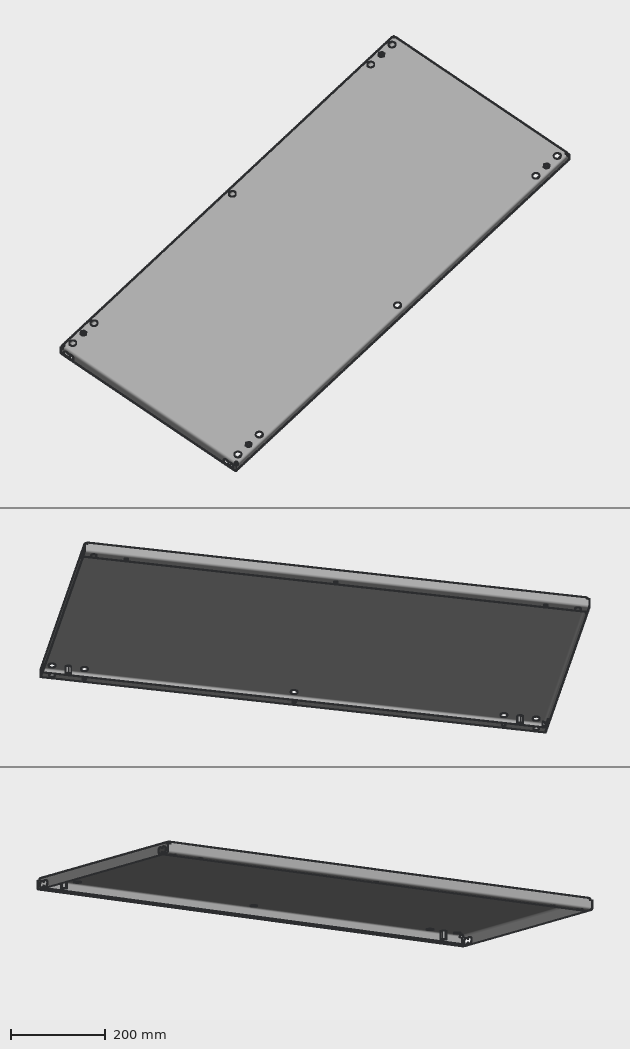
import cadquery as cq

length = 1088
width = 489.0
height = 26.0
sheet = 1.5
side_bend = 5.0
end_bend = 6.0
lip_width = 22.0
corner_relief = 7.0

row_inset = 15.0
nut_y = 486.0
row_pitch = 35.0
end_hole_y = nut_y + row_pitch
inner_hole_y = nut_y - row_pitch
access_radius = 8.0
end_lip_radius = 7.0
inner_lip_radius = 4.0

window_radius = 7.4
window_insets = [16.0, 29.0]
window_z = 10.0

nut_across_corners = 14.0
nut_length = 18.0
nut_bore_radius = 2.7

row_x = width / 2 - row_inset
lip_top = 2 * sheet


def four_corners(x, y):
    """The point (x, y) and its mirror images."""
    return [(sign_x * x, sign_y * y) for sign_x in (-1, 1) for sign_y in (-1, 1)]


def rounded_block(offset):
    """Panel envelope shrunk inward by offset, with rounded side bends and rounded upper end bends."""
    side_profile = (
        cq.Workplane("XZ")
        .rect(width - 2 * offset, height - 2 * offset)
        .extrude(length / 2 - offset, both=True)
        .translate((0, 0, height / 2))
        .edges("|Y")
        .fillet(side_bend - offset)
    )
    end_profile = (
        cq.Workplane("YZ")
        .rect(length - 2 * offset, 2 * (height - offset))
        .extrude(width / 2, both=True)
        .edges(">Z and |X")
        .fillet(end_bend - offset)
    )
    return side_profile.intersect(end_profile)


def upright_holes(points, radius, bottom, top):
    """Vertical cylinders used to cut round holes."""
    return (
        cq.Workplane("XY")
        .workplane(offset=bottom)
        .pushPoints(points)
        .circle(radius)
        .extrude(top - bottom)
    )


def make_insert(x, y):
    """Hexagonal threaded insert, flush with the top face."""
    return (
        cq.Workplane("XY")
        .workplane(offset=height - nut_length)
        .center(x, y)
        .polygon(6, nut_across_corners)
        .circle(nut_bore_radius)
        .extrude(nut_length)
    )


def make_panel():
    """Folded tray with lips, corner reliefs and all its openings."""
    tray = rounded_block(0).cut(rounded_block(sheet))

    tray = tray.cut(cq.Workplane("XY").box(width - 2 * lip_width, length - 2 * sheet, 2 * lip_top))

    tray = tray.cut(
        cq.Workplane("XY")
        .workplane(offset=height - end_bend)
        .pushPoints(four_corners(width / 2, length / 2))
        .rect(2 * corner_relief, 2 * corner_relief)
        .extrude(end_bend)
    )

    end_holes = four_corners(row_x, end_hole_y)
    inner_holes = [(x, y) for x in (-row_x, row_x) for y in (-inner_hole_y, 0, inner_hole_y)]
    tray = tray.cut(upright_holes(end_holes + inner_holes, access_radius, lip_top, height))
    tray = tray.cut(upright_holes(end_holes, end_lip_radius, 0, lip_top))
    tray = tray.cut(upright_holes(inner_holes, inner_lip_radius, 0, lip_top))

    for inset in window_insets:
        centres = [(side * (width / 2 - inset), window_z) for side in (-1, 1)]
        tray = tray.cut(
            cq.Workplane("XZ").pushPoints(centres).circle(window_radius).extrude(length / 2, both=True)
        )

    return tray.cut(
        cq.Workplane("XY")
        .workplane(offset=height - nut_length)
        .pushPoints(four_corners(row_x, nut_y))
        .polygon(6, nut_across_corners)
        .extrude(nut_length)
    )


panel = make_panel()
inserts = [make_insert(x, y) for x, y in four_corners(row_x, nut_y)]

result = cq.Compound.makeCompound([panel.val(), *[insert.val() for insert in inserts]])